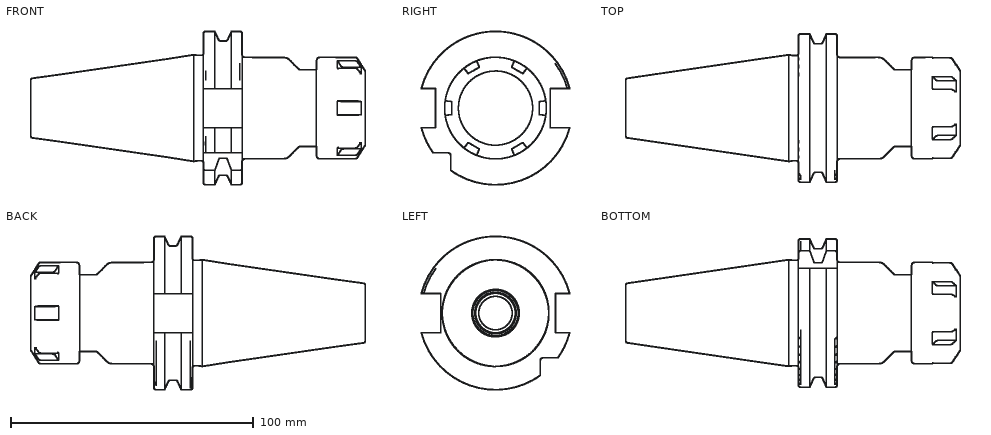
import cadquery as cq
import math

TOTAL_LENGTH = 138.2

GAUGE_RADIUS = 22.3
GAUGE_STATION = 68.6
TAPER_PER_LENGTH = 7 / 24
TAPER_END = 67.5
TIP_FILLET = 0.8
RELIEF_RADIUS = 21.8
RELIEF_START = 68.8
RELIEF_FILLET = 0.7

FLANGE_RADIUS = 31.73
FLANGE_START = 71.3
FLANGE_WIDTH = 16.0
FLANGE_END = FLANGE_START + FLANGE_WIDTH
FLANGE_FILLET = 1.0
GROOVE_CENTER = FLANGE_START + 8.2
GROOVE_MOUTH = 6.9
GROOVE_RADIUS = 27.8
GROOVE_FLANK = 25.0
GROOVE_FILLET = 0.7

SLOT_WIDTH = 16.2
BACK_SLOT_FLOOR = 22.7
FRONT_SLOT_FLOOR = 24.9
NOTCH_CORNER = 18.5
NOTCH_FILLET = 1.1

BODY_RADIUS = 21.0
BODY_ROOT_FILLET = 1.1
BODY_END = 105.9
BODY_END_FILLET = 3.5
NECK_RADIUS = 15.9
NECK_START = BODY_END + BODY_RADIUS - NECK_RADIUS
NECK_FILLET = 0.7

MOUTH_RADIUS = 9.8
LEAD_RADIUS = 9.4
LEAD_START = 0.3
PILOT_RADIUS = 8.6
PILOT_START = 1.4
PILOT_END = 4.4
THREAD_RADIUS = 8.2
THREAD_START = 4.7
THREAD_END = 7.6
RUNOUT_RADIUS = 7.9
RUNOUT_START = 8.5
DRILL_START = 9.8
DRILL_RADIUS = 6.9
DRILL_END = 33.2
DRILL_POINT_ANGLE = 118.0

NUT_START = 118.0
NUT_RADIUS = 21.0
NUT_BACK_FILLET = 1.4
NUT_FACE_RADIUS = 15.3
NUT_CONE_START = 134.7
NUT_CONE_FILLET = 1.4

WRENCH_SLOTS = 6
WRENCH_SLOT_WIDTH = 6.1
WRENCH_SLOT_START = 126.6
WRENCH_SLOT_FLOOR = 18.0
WRENCH_SLOT_DRAFT = 7.0
WRENCH_SLOT_LEAN = 30.0
WRENCH_SLOT_FILLET = 1.4


def taper_radius(station):
    return GAUGE_RADIUS - (GAUGE_STATION - station) * TAPER_PER_LENGTH / 2


def turned(profile):
    """Revolve an outline of (station, radius) points about the X axis, starting from the -Y side."""
    outline = [(station, -radius) for station, radius in profile]
    return cq.Workplane("XY").polyline(outline).close().revolve(360, (0, 0, 0), (1, 0, 0))


def fillet_circle(body, station, radius, fillet):
    """Round the circular edge of the given radius that lies at a station."""
    def is_wanted(edge):
        if edge.geomType() != "CIRCLE":
            return False
        return abs(edge.Center().x - station) < 0.001 and abs(edge.radius() - radius) < 0.001

    return body.edges().filter(is_wanted).fillet(fillet)


def make_bore():
    point_length = DRILL_RADIUS / math.tan(math.radians(DRILL_POINT_ANGLE / 2))
    return turned([
        (0, 0),
        (0, MOUTH_RADIUS),
        (LEAD_START, LEAD_RADIUS),
        (PILOT_START, PILOT_RADIUS),
        (PILOT_END, PILOT_RADIUS),
        (THREAD_START, THREAD_RADIUS),
        (THREAD_END, THREAD_RADIUS),
        (RUNOUT_START, RUNOUT_RADIUS),
        (DRILL_START, DRILL_RADIUS),
        (DRILL_END, DRILL_RADIUS),
        (DRILL_END + point_length, 0),
    ])


def make_drive_slot(floor, side):
    """A slot across the flange, open toward +Y (side 1) or -Y (side -1)."""
    depth = FLANGE_RADIUS - floor
    middle = side * (floor + depth / 2)
    return cq.Workplane("XY").box(FLANGE_WIDTH, depth, SLOT_WIDTH).translate(
        (FLANGE_START + FLANGE_WIDTH / 2, middle, 0)
    )


def make_notch():
    size = FLANGE_RADIUS - NOTCH_CORNER
    middle = -(NOTCH_CORNER + size / 2)
    notch = cq.Workplane("XY").box(FLANGE_WIDTH, size, size)
    notch = notch.edges("|X").edges(">Y").edges(">Z").fillet(NOTCH_FILLET)
    return notch.translate((FLANGE_START + FLANGE_WIDTH / 2, middle, middle))


def make_holder():
    groove_run = (FLANGE_RADIUS - GROOVE_RADIUS) * math.tan(math.radians(GROOVE_FLANK))
    groove_left = GROOVE_CENTER - GROOVE_MOUTH / 2
    groove_right = GROOVE_CENTER + GROOVE_MOUTH / 2
    floor_left = groove_left + groove_run
    floor_right = groove_right - groove_run
    tip_radius = taper_radius(0)
    holder = turned([
        (0, 0),
        (0, tip_radius),
        (TAPER_END, taper_radius(TAPER_END)),
        (RELIEF_START, RELIEF_RADIUS),
        (FLANGE_START, RELIEF_RADIUS),
        (FLANGE_START, FLANGE_RADIUS),
        (groove_left, FLANGE_RADIUS),
        (floor_left, GROOVE_RADIUS),
        (floor_right, GROOVE_RADIUS),
        (groove_right, FLANGE_RADIUS),
        (FLANGE_END, FLANGE_RADIUS),
        (FLANGE_END, BODY_RADIUS),
        (BODY_END, BODY_RADIUS),
        (NECK_START, NECK_RADIUS),
        (NUT_START, NECK_RADIUS),
        (NUT_START, 0),
    ])
    rounded_edges = [
        (0, tip_radius, TIP_FILLET),
        (FLANGE_START, RELIEF_RADIUS, RELIEF_FILLET),
        (FLANGE_START, FLANGE_RADIUS, FLANGE_FILLET),
        (floor_left, GROOVE_RADIUS, GROOVE_FILLET),
        (floor_right, GROOVE_RADIUS, GROOVE_FILLET),
        (FLANGE_END, FLANGE_RADIUS, FLANGE_FILLET),
        (FLANGE_END, BODY_RADIUS, BODY_ROOT_FILLET),
        (BODY_END, BODY_RADIUS, BODY_END_FILLET),
        (NECK_START, NECK_RADIUS, NECK_FILLET),
    ]
    for station, radius, fillet in rounded_edges:
        holder = fillet_circle(holder, station, radius, fillet)
    holder = holder.cut(make_drive_slot(BACK_SLOT_FLOOR, 1))
    holder = holder.cut(make_drive_slot(FRONT_SLOT_FLOOR, -1))
    holder = holder.cut(make_notch())
    return holder.cut(make_bore())


def make_wrench_slot():
    """The wrench slot on the -Y side: side walls with draft, and a leaning end wall."""
    wall_run = (NUT_RADIUS - WRENCH_SLOT_FLOOR) * math.tan(math.radians(WRENCH_SLOT_LEAN))
    floor_start = WRENCH_SLOT_START + wall_run
    slot = (
        cq.Workplane("XY")
        .polyline([
            (WRENCH_SLOT_START, -NUT_RADIUS),
            (floor_start, -WRENCH_SLOT_FLOOR),
            (TOTAL_LENGTH, -WRENCH_SLOT_FLOOR),
            (TOTAL_LENGTH, -NUT_RADIUS),
        ])
        .close()
        .extrude(WRENCH_SLOT_WIDTH / 2, both=True)
    )
    slot = slot.edges("|Z").edges(">Y").edges("<X").fillet(WRENCH_SLOT_FILLET)

    rim_half_width = WRENCH_SLOT_WIDTH / 2
    depth = NUT_RADIUS - WRENCH_SLOT_FLOOR
    floor_half_width = rim_half_width - depth * math.tan(math.radians(WRENCH_SLOT_DRAFT))
    drafted_walls = (
        cq.Workplane("YZ", origin=(WRENCH_SLOT_START, 0, 0))
        .polyline([
            (-NUT_RADIUS, -rim_half_width),
            (-WRENCH_SLOT_FLOOR, -floor_half_width),
            (-WRENCH_SLOT_FLOOR, floor_half_width),
            (-NUT_RADIUS, rim_half_width),
        ])
        .close()
        .extrude(TOTAL_LENGTH - WRENCH_SLOT_START)
    )
    return slot.intersect(drafted_walls)


def make_nut():
    nut = turned([
        (NUT_START, 0),
        (NUT_START, NUT_RADIUS),
        (NUT_CONE_START, NUT_RADIUS),
        (TOTAL_LENGTH, NUT_FACE_RADIUS),
        (TOTAL_LENGTH, 0),
    ])
    nut = fillet_circle(nut, NUT_START, NUT_RADIUS, NUT_BACK_FILLET)
    nut = fillet_circle(nut, NUT_CONE_START, NUT_RADIUS, NUT_CONE_FILLET)
    slot = make_wrench_slot()
    for index in range(WRENCH_SLOTS):
        nut = nut.cut(slot.rotate((0, 0, 0), (1, 0, 0), index * 360 / WRENCH_SLOTS))
    return nut


holder = make_holder()
nut = make_nut()
result = cq.Compound.makeCompound([holder.val(), nut.val()])